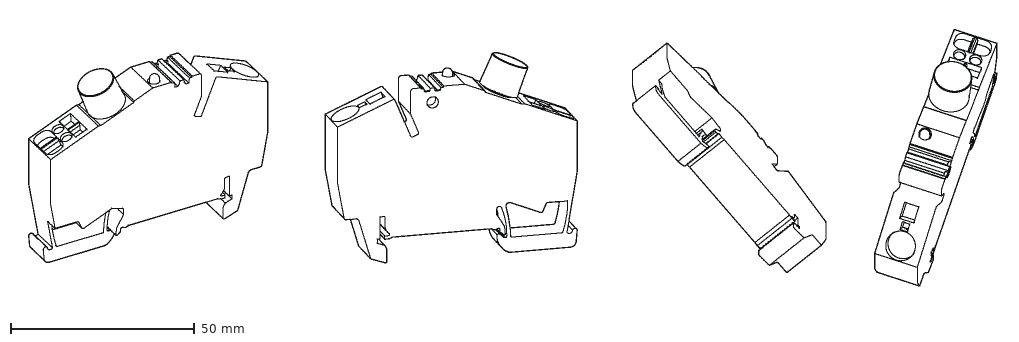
import cadquery as cq
import math

WIDTH = 12.3
LENGTH = 67.95
FOOT_WIDTH = 8.15
ROOF_ANGLE = 22.5
TOP_Z = 49.2
ROOF_BREAK_Y = 31.95
SKIRT_Z = 13.3
RAIL_Z = 7.2
BACK_WALL_TOP_Z = 40.0
BACK_WALL_FOOT_Z = 24.05
FRONT_WALL_FOOT_Z = 21.5

SIN = math.sin(math.radians(ROOF_ANGLE))
COS = math.cos(math.radians(ROOF_ANGLE))
TAN = SIN / COS
MIDDLE_X = WIDTH / 2
FRONT_WALL_TOP_Z = TOP_Z - ROOF_BREAK_Y * TAN

BACK_PEAK_Y = 51.8
GAP_DEPTH = 12.45
GAP_FLOOR = 2.4
MIDDLE_BLOCK_Y = 47.2
BACK_PEAK_Z = BACK_WALL_TOP_Z + (LENGTH - BACK_PEAK_Y) * TAN
GAP_BACK = (BACK_PEAK_Y - GAP_DEPTH * SIN, BACK_PEAK_Z - GAP_DEPTH * COS)
GAP_FRONT = (GAP_BACK[0] - GAP_FLOOR * COS, GAP_BACK[1] + GAP_FLOOR * SIN)
GAP_BEND_Z = GAP_FRONT[1] + (MIDDLE_BLOCK_Y - GAP_FRONT[0]) / TAN

GROOVE_MIDDLE_Y = 41.05
STEP_HALF_LENGTH = 3.25
GROOVE_OUTER = 2.2
GROOVE_INNER = 0.8
GROOVE_SLANT = 0.2
STEP_DEPTH = 0.35
GROOVE_DEPTH = 1.2
TROUGH_DEPTH = 1.9
TROUGH_START_X = 0.8
TROUGH_SLOPE = 0.4

SIDE_HOLE_Y = 41.0
SIDE_HOLE_Z = 44.8
SIDE_HOLE_DIAMETER = 3.2
SIDE_HOLE_DEPTH = 2.7

HOOK_TIP = (53.95, -0.15)

LEG_BOTTOM = (2.9, 4.35)
SKIRT_FRONT_Y = LEG_BOTTOM[0] * (FRONT_WALL_FOOT_Z - SKIRT_Z) / (FRONT_WALL_FOOT_Z - LEG_BOTTOM[1])
SKIRT_NOTCH_Y = 8.7
TOOTH = (9.9, 10.45)
WINDOW_CORNER_Y = 19.15
WINDOW_CORNER = (WINDOW_CORNER_Y, TOOTH[1] + (WINDOW_CORNER_Y - TOOTH[0]) * TAN)
SLOT_TOP = (22.1, 13.4)

SCREW_HOLE_X = 6.1
SCREW_HOLE_Y = 64.1
SCREW_HOLE_DIAMETER = 8.15
SCREW_HOLE_DEPTH = 5.1
SMALL_HOLE_X = (5.5, 7.6)
SMALL_HOLE_Y = (58.1, 60.15)
POCKET_X = (4.55, 8.6)
POCKET_Y = (53.2, 57.5)
POCKET_DEPTH = 5.85

RECESS_Y = (14.95, 26.15)
RECESS_DEPTH = 0.35
RECESS_FRONT_RAMP = 0.7
RECESS_BACK_RAMP = 0.35
TERMINAL_X = (1.4, 10.6)
TERMINAL_Y = (8.75, 12.3)
TERMINAL_DEPTH = 2.45
TERMINAL_WALL_LEAN = 0.75
PROBE_X = (3.75, 8.35)
PROBE_Y = 7.1
PROBE_DIAMETER = 3.4
PROBE_DEPTH = 0.8
PROBE_TAPER = 15.0
ENTRY_X = (0.9, 11.15)
ENTRY_Y = (0.3, 5.4)
ENTRY_DEPTH = 2.7
ENTRY_CORNER = 2.1
DIVIDER_X = 6.0
DIVIDER_DROP = 0.3
TERMINAL_DIVIDER = 0.95
ENTRY_DIVIDER = 1.5
DIVIDER_BEVEL = 0.75

KNOB_X = 6.9
KNOB_Y = 20.45
KNOB_BASE_DIAMETER = 11.15
KNOB_TOP_DIAMETER = 10.45
KNOB_HEIGHT = 8.75
KNOB_CHAMFER = 0.2
KNOB_CLEARANCE = 0.55
COLLAR_DIAMETER = 8.7

LAMP_X = 9.25
LAMP_Y = 34.2
LAMP_DIAMETER = 2.8
LAMP_RIM_HEIGHT = 0.6
LAMP_SEAT_DIAMETER = 3.4
LAMP_SEAT_OFFSET = 0.3
LAMP_SEAT_DEPTH = 1.0

FRONT_ROOF = cq.Plane(origin=(0, ROOF_BREAK_Y, TOP_Z), xDir=(1, 0, 0), normal=(0, -SIN, COS))
BACK_ROOF = cq.Plane(origin=(0, LENGTH, BACK_WALL_TOP_Z), xDir=(1, 0, 0), normal=(0, SIN, COS))


def on_front_roof(y):
    """Distance along the front roof, from its upper edge, of the roof line at y."""
    return (y - ROOF_BREAK_Y) / COS


def on_back_roof(y):
    """Distance along the back roof, from its lower edge, of the roof line at y."""
    return (y - LENGTH) / COS


def sunk_box(plane, x_span, v_span, depth):
    """Box going down from a roof plane."""
    return (
        cq.Workplane(plane)
        .center(sum(x_span) / 2, sum(v_span) / 2)
        .rect(x_span[1] - x_span[0], v_span[1] - v_span[0])
        .extrude(-depth)
    )


def round_corners(solid, middle_x, corners):
    """Round the edges along X that pass nearest to the given (y, z, radius) corners."""
    for y, z, radius in corners:
        nearest = cq.selectors.NearestToPointSelector((middle_x, y, z))
        solid = solid.edges("|X").edges(nearest).fillet(radius)
    return solid


def marker_steps():
    """Outline points of the two marker grooves, from back to front."""
    step_z = TOP_Z - STEP_DEPTH
    groove_z = TOP_Z - GROOVE_DEPTH
    back_half = [
        (STEP_HALF_LENGTH, TOP_Z),
        (STEP_HALF_LENGTH - GROOVE_SLANT, step_z),
        (GROOVE_OUTER + GROOVE_SLANT, step_z),
        (GROOVE_OUTER, groove_z),
        (GROOVE_INNER, groove_z),
        (GROOVE_INNER - GROOVE_SLANT, step_z),
    ]
    back = [(GROOVE_MIDDLE_Y + y, z) for y, z in back_half]
    front = [(GROOVE_MIDDLE_Y - y, z) for y, z in reversed(back_half)]
    return back + front


def main_block():
    """Full-width block with the back hook and the clip finger on its underside."""
    outline = cq.Workplane("YZ").moveTo(LENGTH, BACK_WALL_TOP_Z)
    upper_points = [
        (BACK_PEAK_Y, BACK_PEAK_Z),
        GAP_BACK,
        GAP_FRONT,
        (MIDDLE_BLOCK_Y, GAP_BEND_Z),
        (MIDDLE_BLOCK_Y, TOP_Z),
        *marker_steps(),
        (ROOF_BREAK_Y, TOP_Z),
        (0, FRONT_WALL_TOP_Z),
        (0, FRONT_WALL_FOOT_Z),
        (SKIRT_FRONT_Y, SKIRT_Z),
        (SKIRT_NOTCH_Y, SKIRT_Z),
        TOOTH,
        WINDOW_CORNER,
        SLOT_TOP,
    ]
    for point in upper_points:
        outline = outline.lineTo(*point)
    outline = (
        outline.threePointArc((22.6, 13.2), (22.8, 12.65))
        .lineTo(22.8, 11.2)
        .lineTo(20.9, 8.1)
        .threePointArc((20.7, 7.75), (20.6, 7.4))
        .lineTo(20.4, 5.3)
        .lineTo(20.8, 5.1)
        .lineTo(21.9, 6.0)
        .lineTo(21.9, 6.7)
        .threePointArc((22.15, 7.15), (22.55, 7.15))
        .lineTo(23.4, 6.8)
        .lineTo(24.4, RAIL_Z)
        .lineTo(52.3, RAIL_Z)
        .lineTo(53.35, 6.8)
        .lineTo(54.55, 6.8)
        .lineTo(54.55, 7.75)
        .lineTo(53.55, 7.75)
        .threePointArc((53.2, 7.95), (53.3, 8.3))
        .threePointArc((54.15, 9.3), (54.4, 10.5))
    )
    hook_points = [
        (54.4, SKIRT_Z),
        (55.85, SKIRT_Z),
        (55.85, 7.0),
        (56.7, 7.0),
        (56.7, 5.85),
        (54.6, 5.1),
    ]
    for point in hook_points:
        outline = outline.lineTo(*point)
    outline = outline.threePointArc((54.15, 4.5), (53.95, 3.6))
    for point in [HOOK_TIP, (58.5, 1.5), (62.05, SKIRT_Z), (66.0, SKIRT_Z), (LENGTH, BACK_WALL_FOOT_Z)]:
        outline = outline.lineTo(*point)
    block = outline.close().extrude(WIDTH)
    return round_corners(
        block,
        MIDDLE_X,
        [
            (BACK_PEAK_Y, BACK_PEAK_Z, 0.5),
            (*GAP_BACK, 0.5),
            (*GAP_FRONT, 0.5),
            (MIDDLE_BLOCK_Y, TOP_Z, 0.8),
            (*TOOTH, 0.55),
            (SKIRT_NOTCH_Y, SKIRT_Z, 0.55),
            (54.4, SKIRT_Z, 0.35),
            (*HOOK_TIP, 0.35),
            (62.05, SKIRT_Z, 1.0),
            (66.0, SKIRT_Z, 0.6),
        ],
    )


def spring_foot():
    """Narrower spring foot, hung on two struts that run up into the main block."""
    strut_root_z = WINDOW_CORNER[1] + 1.35
    foot = (
        cq.Workplane("YZ")
        .moveTo(*SLOT_TOP)
        .threePointArc((21.7, 13.25), (21.4, 12.85))
        .threePointArc((20.3, 9.05), (20.0, 5.0))
        .threePointArc((20.05, 4.6), (20.4, 4.35))
        .lineTo(20.85, 4.5)
        .lineTo(21.95, 5.5)
        .lineTo(22.8, 5.5)
        .threePointArc((21.9, 2.2), (19.4, 0))
        .lineTo(2.05, 0)
        .threePointArc((0.8, 0.5), (0.3, 1.6))
        .lineTo(0, 4.7)
        .threePointArc((0.6, 5.3), (1.35, 4.9))
        .threePointArc((2.05, 4.0), LEG_BOTTOM)
        .lineTo(0, FRONT_WALL_FOOT_Z)
        .lineTo(2.7, FRONT_WALL_FOOT_Z)
        .lineTo(2.7, 11.75)
        .threePointArc((3.2, 8.15), (4.15, 4.35))
        .lineTo(18.8, 4.35)
        .threePointArc((19.2, 8.7), (20.1, 12.9))
        .threePointArc((20.0, 13.9), WINDOW_CORNER)
        .lineTo(WINDOW_CORNER[0], strut_root_z)
        .lineTo(SLOT_TOP[0], strut_root_z)
        .close()
        .extrude(FOOT_WIDTH)
    )
    return round_corners(foot, FOOT_WIDTH / 2, [(4.15, 4.35, 0.5), (18.8, 4.35, 0.3)])


def marker_troughs():
    """Deeper part of each marker groove, which stops short of the -X side."""
    groove_z = TOP_Z - GROOVE_DEPTH
    trough_z = TOP_Z - TROUGH_DEPTH
    section = [
        (GROOVE_OUTER, groove_z),
        (GROOVE_OUTER, trough_z),
        (GROOVE_INNER + TROUGH_SLOPE, trough_z),
        (GROOVE_INNER, groove_z),
    ]
    troughs = cq.Workplane("YZ")
    for side in (-1, 1):
        points = [(GROOVE_MIDDLE_Y + side * y, z) for y, z in section]
        trough = cq.Workplane("YZ", origin=(TROUGH_START_X, 0, 0)).polyline(points).close()
        troughs = troughs.union(trough.extrude(WIDTH - TROUGH_START_X))
    return troughs


def back_roof_openings():
    """Screw hole, small square hole and release pocket in the back roof."""
    screw_hole = (
        cq.Workplane(BACK_ROOF)
        .center(SCREW_HOLE_X, on_back_roof(SCREW_HOLE_Y))
        .circle(SCREW_HOLE_DIAMETER / 2)
        .extrude(-SCREW_HOLE_DEPTH)
    )
    small_v = [on_back_roof(y) for y in SMALL_HOLE_Y]
    pocket_v = [on_back_roof(y) for y in POCKET_Y]
    small_hole = sunk_box(BACK_ROOF, SMALL_HOLE_X, small_v, POCKET_DEPTH)
    pocket = sunk_box(BACK_ROOF, POCKET_X, pocket_v, POCKET_DEPTH)
    return screw_hole.union(small_hole).union(pocket)


def front_roof_profile(points, x_span):
    """Solid over x_span from (distance along, height above) points of the front roof."""
    x_start, x_end = x_span
    origin = FRONT_ROOF.toWorldCoords((x_start, 0, 0))
    side_plane = cq.Plane(origin=origin, xDir=FRONT_ROOF.yDir, normal=(1, 0, 0))
    return cq.Workplane(side_plane).polyline(points).close().extrude(x_end - x_start)


def knob_recess():
    """Shallow recess with ramped ends, across the full width under the knob."""
    front, back = (on_front_roof(y) for y in RECESS_Y)
    points = [
        (front, 0),
        (front + RECESS_FRONT_RAMP, -RECESS_DEPTH),
        (back - RECESS_BACK_RAMP, -RECESS_DEPTH),
        (back, 0),
    ]
    return front_roof_profile(points, (0, WIDTH))


def divider(v_span, thickness, depth):
    """Rib with steeply bevelled sides near its top that splits an opening of the front roof."""
    v_start, v_end = v_span
    half = thickness / 2
    half_top = thickness / 6
    section = [
        (-half, -depth),
        (half, -depth),
        (half, -DIVIDER_DROP - DIVIDER_BEVEL),
        (half_top, -DIVIDER_DROP),
        (-half_top, -DIVIDER_DROP),
        (-half, -DIVIDER_DROP - DIVIDER_BEVEL),
    ]
    origin = FRONT_ROOF.toWorldCoords((DIVIDER_X, v_end, 0))
    end_plane = cq.Plane(origin=origin, xDir=FRONT_ROOF.xDir, normal=-FRONT_ROOF.yDir)
    return cq.Workplane(end_plane).polyline(section).close().extrude(v_end - v_start)


def clamp_pocket():
    """Split clamp pocket, whose back wall leans forward toward the floor."""
    front, back = (on_front_roof(y) for y in TERMINAL_Y)
    points = [
        (front, 0),
        (front, -TERMINAL_DEPTH),
        (back - TERMINAL_WALL_LEAN, -TERMINAL_DEPTH),
        (back, 0),
    ]
    pocket = front_roof_profile(points, TERMINAL_X)
    return pocket.cut(divider((front, back), TERMINAL_DIVIDER, TERMINAL_DEPTH))


def wire_entry():
    """Split wire entry with rounded corners."""
    entry_v = [on_front_roof(y) for y in ENTRY_Y]
    entry = sunk_box(FRONT_ROOF, ENTRY_X, entry_v, ENTRY_DEPTH)
    entry = entry.edges(cq.selectors.ParallelDirSelector(FRONT_ROOF.zDir)).fillet(ENTRY_CORNER)
    return entry.cut(divider(entry_v, ENTRY_DIVIDER, ENTRY_DEPTH))


def probe_holes():
    """Two shallow tapered probe holes."""
    centers = [(x, on_front_roof(PROBE_Y)) for x in PROBE_X]
    circles = cq.Workplane(FRONT_ROOF).pushPoints(centers).circle(PROBE_DIAMETER / 2)
    return circles.extrude(-PROBE_DEPTH, taper=PROBE_TAPER)


def side_hole():
    """Blind round hole in the -X side."""
    return (
        cq.Workplane("YZ")
        .center(SIDE_HOLE_Y, SIDE_HOLE_Z)
        .circle(SIDE_HOLE_DIAMETER / 2)
        .extrude(SIDE_HOLE_DEPTH)
    )


def lamp_seat():
    """Round seat, a little wider than the lamp and set toward -Y."""
    return (
        cq.Workplane("XY", origin=(LAMP_X, LAMP_Y - LAMP_SEAT_OFFSET, TOP_Z))
        .circle(LAMP_SEAT_DIAMETER / 2)
        .extrude(-LAMP_SEAT_DEPTH)
    )


def make_housing():
    housing = main_block().union(spring_foot())
    openings = [
        marker_troughs(),
        back_roof_openings(),
        knob_recess(),
        clamp_pocket(),
        wire_entry(),
        probe_holes(),
        side_hole(),
        lamp_seat(),
    ]
    for opening in openings:
        housing = housing.cut(opening)
    return housing


def make_knob():
    """Tapered knob on a thinner collar that stands on the recess floor."""
    base = KNOB_CLEARANCE - RECESS_DEPTH
    top = base + KNOB_HEIGHT
    base_radius = KNOB_BASE_DIAMETER / 2
    top_radius = KNOB_TOP_DIAMETER / 2
    section = [
        (0, -RECESS_DEPTH),
        (COLLAR_DIAMETER / 2, -RECESS_DEPTH),
        (COLLAR_DIAMETER / 2, base),
        (base_radius, base),
        (top_radius, top - KNOB_CHAMFER),
        (top_radius - KNOB_CHAMFER, top),
        (0, top),
    ]
    axis_foot = FRONT_ROOF.toWorldCoords((KNOB_X, on_front_roof(KNOB_Y), 0))
    section_plane = cq.Plane(origin=axis_foot, xDir=FRONT_ROOF.yDir, normal=(1, 0, 0))
    return cq.Workplane(section_plane).polyline(section).close().revolve(360, (0, 0), (0, 1))


def make_lamp():
    """Round lamp with a domed top, standing on the floor of its seat."""
    radius = LAMP_DIAMETER / 2
    dome_slant = radius * math.sqrt(0.5)
    return (
        cq.Workplane("XZ", origin=(LAMP_X, LAMP_Y, TOP_Z))
        .moveTo(0, -LAMP_SEAT_DEPTH)
        .lineTo(radius, -LAMP_SEAT_DEPTH)
        .lineTo(radius, LAMP_RIM_HEIGHT)
        .threePointArc((dome_slant, LAMP_RIM_HEIGHT + dome_slant), (0, LAMP_RIM_HEIGHT + radius))
        .close()
        .revolve(360, (0, 0), (0, 1))
    )


housing = make_housing()
knob = make_knob()
lamp = make_lamp()

result = cq.Compound.makeCompound([housing.val(), knob.val(), lamp.val()])